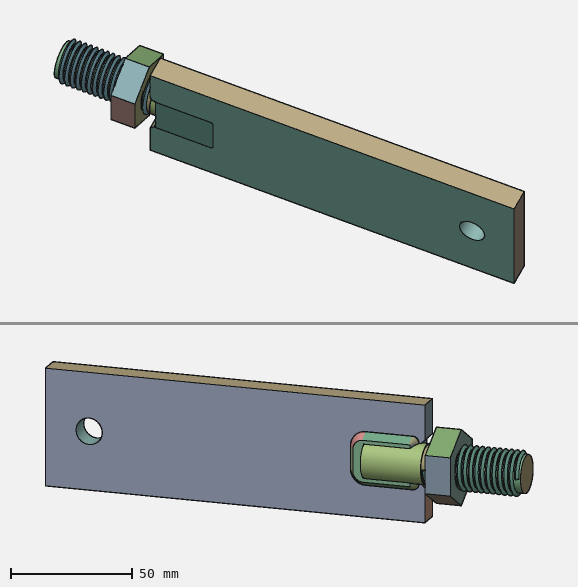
import cadquery as cq
import math

total_length = 209.5

plate_start = 44.5
plate_height = 50.7
plate_thickness = 10.0
hole_diameter = 11.3
hole_edge_distance = 19.0
slot_mouth_chamfer = 1.7

shank_radius = 8.5
stud_length = 69.5
thread_crest_radius = 9.6
thread_turns = 16
thread_root_radius = 8.2
thread_root_width = 2.3
thread_start = 1.7
thread_end = 42.1
thread_pitch = (thread_end - thread_start) / thread_turns
threaded_core_end = 43.4
root_overlap = 0.2

nut_start = 28.5
nut_thickness = 11.0
nut_across_flats = 28.5

weld_start = 47.0
slot_end = 73.0
fill_corner_radius = 1.3
bead_end = 76.7
bead_half_width = 11.5
bead_height = 4.5
bead_corner_radius = 6.7
bead_start_radius = 2.7
bead_slope_run = 2.5
bead_slope_drop = 4.0


def x_cylinder(radius, start, length):
    """Solid cylinder on the X axis."""
    return cq.Workplane("YZ", origin=(start, 0, 0)).circle(radius).extrude(length)


def slot_tool(start):
    """Block with the slot's outline, through the plate thickness, from `start` to the slot end."""
    length = slot_end - start
    block = cq.Workplane("XY").box(length, plate_thickness, 2 * shank_radius, centered=(False, False, True))
    return block.translate((start, -plate_thickness, 0)).edges(">X and |Y").fillet(fill_corner_radius)


def make_plate():
    """Rectangular plate with a hole near its far end and a slot for the stud."""
    plate_length = total_length - plate_start
    plate = cq.Workplane("XY").box(
        plate_length, plate_thickness, plate_height, centered=(False, False, True)
    ).translate((plate_start, -plate_thickness, 0))
    hole = (
        cq.Workplane("XZ")
        .center(total_length - hole_edge_distance, 0)
        .circle(hole_diameter / 2)
        .extrude(plate_thickness)
    )
    mouth_half_height = shank_radius + slot_mouth_chamfer
    mouth = (
        cq.Workplane("XZ")
        .moveTo(plate_start, -mouth_half_height)
        .lineTo(plate_start + slot_mouth_chamfer, -shank_radius)
        .lineTo(plate_start + slot_mouth_chamfer, shank_radius)
        .lineTo(plate_start, mouth_half_height)
        .close()
        .extrude(plate_thickness)
    )
    return plate.cut(hole).cut(slot_tool(plate_start)).cut(mouth)


def make_thread_ridge():
    """Right-handed helical V ridge, sunk slightly into the core and starting on the +Y side."""
    root_radius = thread_root_radius - root_overlap
    helix = cq.Wire.makeHelix(thread_pitch, thread_end - thread_start, thread_root_radius)
    ridge = (
        cq.Workplane("XZ")
        .moveTo(root_radius, -thread_root_width / 2)
        .lineTo(thread_crest_radius, 0)
        .lineTo(root_radius, thread_root_width / 2)
        .close()
        .sweep(cq.Workplane(obj=helix), isFrenet=True)
    )
    ridge = ridge.rotate((0, 0, 0), (1, 1, 1), 120)
    return ridge.translate((thread_start, 0, 0))


def make_stud():
    """Plain rod with the thread on its free end."""
    threaded_core = x_cylinder(thread_root_radius, 0, threaded_core_end)
    shank = x_cylinder(shank_radius, threaded_core_end, stud_length - threaded_core_end)
    return threaded_core.union(shank).union(make_thread_ridge())


def make_nut(stud):
    """Hexagonal jam nut with corners at top and bottom, its bore matching the stud's thread."""
    across_corners = nut_across_flats / math.cos(math.pi / 6)
    blank = (
        cq.Workplane("YZ", origin=(nut_start, 0, 0))
        .transformed(rotate=(0, 0, 90))
        .polygon(6, across_corners)
        .extrude(nut_thickness)
    )
    return blank.cut(stud)


def make_slot_fill(rod):
    """Weld metal around the rod in the slot, flush with the plate's front face."""
    return slot_tool(weld_start).cut(rod)


def make_back_bead(rod):
    """U-shaped weld bead on the plate's back face, along both sides of the rod and around its end."""
    bead = (
        cq.Workplane("XY")
        .box(bead_end - weld_start, bead_height, 2 * bead_half_width, centered=(False, False, True))
        .translate((weld_start, 0, 0))
        .edges(">X and |Y")
        .fillet(bead_corner_radius)
        .edges("<X and |Y")
        .fillet(bead_start_radius)
        .faces(">Y")
        .edges("not <X")
        .chamfer(bead_slope_drop, bead_slope_run)
    )
    return bead.cut(rod)


rod = x_cylinder(shank_radius, threaded_core_end, stud_length - threaded_core_end)
plate = make_plate()
stud = make_stud()
nut = make_nut(stud)
slot_fill = make_slot_fill(rod)
back_bead = make_back_bead(rod)

result = cq.Compound.makeCompound(
    [body.solids().val() for body in (plate, stud, nut, slot_fill, back_bead)]
)